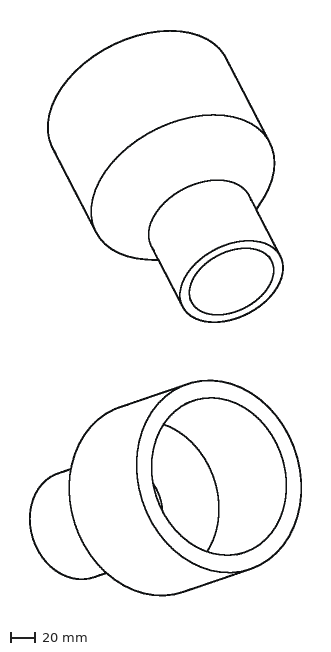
import cadquery as cq

total_length = 217.0
large_length = 102.5
small_length = 73.8
large_outer_diameter = 160.0
large_bore_diameter = 130.9
small_outer_diameter = 90.0
small_bore_diameter = 73.5

cone_end = total_length - small_length


def stepped_cone(large_diameter, small_diameter):
    """Solid of two coaxial cylinders joined by a cone."""
    large_radius = large_diameter / 2
    small_radius = small_diameter / 2
    half_profile = (
        cq.Workplane("XY")
        .moveTo(0, 0)
        .lineTo(0, large_radius)
        .lineTo(large_length, large_radius)
        .lineTo(cone_end, small_radius)
        .lineTo(total_length, small_radius)
        .lineTo(total_length, 0)
        .close()
    )
    return half_profile.revolve(360, (0, 0, 0), (1, 0, 0))


body = stepped_cone(large_outer_diameter, small_outer_diameter)
bore = stepped_cone(large_bore_diameter, small_bore_diameter)

result = body.cut(bore)